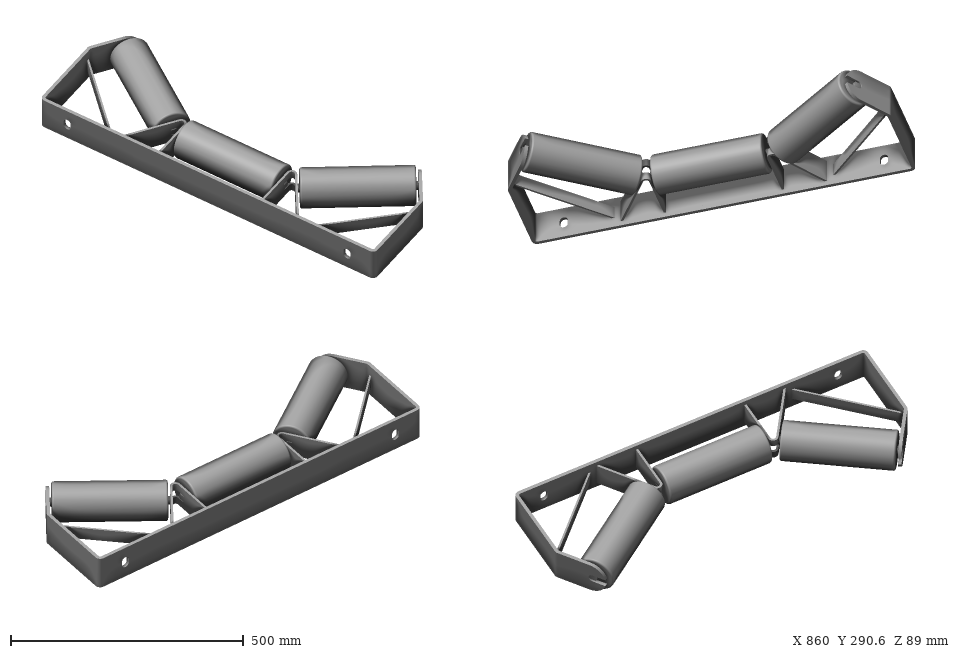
import cadquery as cq
import math

roller_diameter = 89.0
roller_length = 250.0
roller_edge_radius = 4.0
shaft_diameter = 19.0
shaft_flat_width = 14.0
end_gap = 4.7
tilt_angle = 35
middle_axis_y = 101.5
side_roller_x = 267.0
side_roller_y = 184.0

strap_length = 860
strap_height = 80.0
strap_thickness = 8.0
bend_radius = 12.0
strap_leg_above_axis = 32.0

bracket_height = 56.0
bracket_thickness = 5.0
brace_height = 30.0
brace_thickness = 4.0
brace_top_y = 177.0
brace_foot_x = 248.5

mount_hole_width = 18.0
mount_hole_height = 27.5
mount_hole_x = 359.5

carrier_face = roller_length / 2 + end_gap
tilt = math.radians(tilt_angle)
axis_x, axis_y = math.cos(tilt), math.sin(tilt)


def side_point(along, above):
    """Point placed from the right side roller's centre, along and square to its axis."""
    return (
        side_roller_x + along * axis_x - above * axis_y,
        side_roller_y + along * axis_y + above * axis_x,
    )


def height_at_x(along, x):
    """Y where the line square to the side roller axis, at that distance, reaches x."""
    above = (side_roller_x + along * axis_x - x) / axis_y
    return side_point(along, above)[1]


def x_at_height(along, y):
    """X where the line square to the side roller axis, at that distance, reaches y."""
    above = (y - side_roller_y - along * axis_y) / axis_x
    return side_point(along, above)[0]


def mirrored(points):
    return [(-x, y) for x, y in reversed(points)]


def plate(outline, height):
    """Flat outline in XY, thickened equally above and below Z = 0."""
    return cq.Workplane("XY", origin=(0, 0, -height / 2)).polyline(outline).close().extrude(height)


def cylinder(diameter, half_length):
    """Cylinder along X, centred on the origin."""
    start = cq.Workplane("YZ", origin=(-half_length, 0, 0))
    return start.circle(diameter / 2).extrude(2 * half_length)


def round_bends(strip, corners, radius):
    """Round the upright edges that stand at the given outline corners."""
    for x, y in corners:
        strip = strip.edges(cq.selectors.NearestToPointSelector((x, y, 0))).fillet(radius)
    return strip


def make_strap():
    half = strap_length / 2
    inner_half = half - strap_thickness
    outer_face = carrier_face + strap_thickness
    outer_bends = [(half, 0), (half, height_at_x(outer_face, half))]
    inner_bends = [(inner_half, strap_thickness), (inner_half, height_at_x(carrier_face, inner_half))]
    tip = [side_point(outer_face, strap_leg_above_axis), side_point(carrier_face, strap_leg_above_axis)]
    right = outer_bends + tip + inner_bends[::-1]
    strap = plate(right + mirrored(right), strap_height)
    strap = round_bends(strap, outer_bends + mirrored(outer_bends), bend_radius)
    inner_radius = bend_radius - strap_thickness
    return round_bends(strap, inner_bends + mirrored(inner_bends), inner_radius)


def round_strap_tip(strap):
    """Round the right tip of the strap to a half circle across its height."""
    radius = strap_height / 2
    tip_plane = cq.Plane(
        origin=(*side_point(carrier_face, strap_leg_above_axis - radius), 0),
        xDir=(-axis_y, axis_x, 0),
        normal=(axis_x, axis_y, 0),
    )
    square_end = (
        cq.Workplane(tip_plane).center(radius / 2, 0).rect(radius, strap_height).extrude(strap_thickness)
    )
    round_end = cq.Workplane(tip_plane).circle(radius).extrude(strap_thickness)
    return strap.cut(square_end.cut(round_end))


def make_bracket():
    """Right bracket: an upside-down V with one upright leg and one leg square to the side roller."""
    upright_inner = carrier_face
    upright_outer = carrier_face + bracket_thickness
    near = -carrier_face
    far = -carrier_face - bracket_thickness
    foot = strap_thickness
    apex = (upright_inner, height_at_x(near, upright_inner))
    crotch = (upright_outer, height_at_x(far, upright_outer))
    bracket = plate(
        [
            (upright_inner, foot),
            apex,
            (x_at_height(near, foot), foot),
            (x_at_height(far, foot), foot),
            crotch,
            (upright_outer, foot),
        ],
        bracket_height,
    )
    bracket = round_bends(bracket, [apex], bend_radius)
    return round_bends(bracket, [crotch], bend_radius - bracket_thickness)


def make_brace():
    """Right brace: a thin flat bar from the strap's upright side down to its base."""
    top_x = strap_length / 2 - strap_thickness
    slope = math.atan2(brace_top_y - strap_thickness, top_x - brace_foot_x)
    half_width = brace_thickness / 2 / math.sin(slope)
    half_rise = brace_thickness / 2 / math.cos(slope)
    return plate(
        [
            (brace_foot_x - half_width, strap_thickness),
            (brace_foot_x + half_width, strap_thickness),
            (top_x, brace_top_y - half_rise),
            (top_x, brace_top_y + half_rise),
        ],
        brace_height,
    )


def place_middle(body):
    return body.translate((0, middle_axis_y, 0))


def place_right(body):
    return body.rotate((0, 0, 0), (0, 0, 1), tilt_angle).translate((side_roller_x, side_roller_y, 0))


def place_left(body):
    return body.rotate((0, 0, 0), (0, 0, 1), -tilt_angle).translate((-side_roller_x, side_roller_y, 0))


places = [place_left, place_middle, place_right]


def make_shaft_slot():
    """Cutter for the two round-bottomed slots of one roller, open upward, reaching through the bends."""
    reach = carrier_face + bend_radius
    height = strap_leg_above_axis + shaft_diameter
    round_bottom = cylinder(shaft_diameter, reach)
    opening = cq.Workplane("XY").box(2 * reach, height, shaft_diameter, centered=(True, False, True))
    return round_bottom.union(opening)


def make_frame():
    right_parts = [make_bracket(), make_brace()]
    frame = round_strap_tip(make_strap())
    frame = round_strap_tip(frame.mirror("YZ")).mirror("YZ")
    for part in right_parts:
        frame = frame.union(part).union(part.mirror("YZ"))
    for place in places:
        frame = frame.cut(place(make_shaft_slot()))
    mount_holes = (
        cq.Workplane("XZ")
        .pushPoints([(-mount_hole_x, 0), (mount_hole_x, 0)])
        .slot2D(mount_hole_height, mount_hole_width, 90)
        .extrude(-strap_thickness)
    )
    return frame.cut(mount_holes)


def make_roller():
    """Rounded roller with a flatted shaft that reaches through the slots, along X."""
    shaft_half = carrier_face + bracket_thickness
    drum = cylinder(roller_diameter, roller_length / 2).faces("<X or >X").edges().fillet(roller_edge_radius)
    flats = cq.Workplane("XY").box(2 * shaft_half, shaft_diameter, shaft_flat_width)
    return drum.union(cylinder(shaft_diameter, shaft_half).intersect(flats))


frame = make_frame()
rollers = [place(make_roller()) for place in places]

result = cq.Compound.makeCompound([frame.val(), *[roller.val() for roller in rollers]])